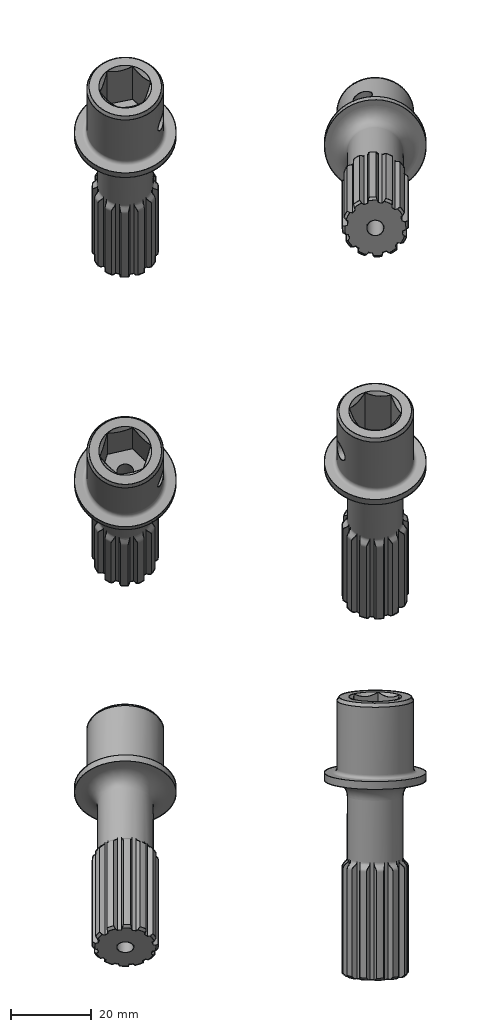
import cadquery as cq
import math

total_length = 70.0
spline_length = 29.4
flange_bottom = 49.0
flange_thickness = 1.95
flange_top = flange_bottom + flange_thickness

flange_radius = 12.6
head_radius = 9.5
head_chamfer_height = 0.9
head_chamfer_width = 0.55
head_fillet = 1.0
shaft_radius = 6.9
shaft_fillet = 4.0

spline_radius = 8.2
spline_end_chamfer = 0.6
runout_fillet = 1.0
groove_count = 12
groove_floor_width = 1.0
groove_mouth_width = 2.45

hex_across_flats = 11.2
socket_depth = 14.0
socket_mouth_radius = 6.5
bore_radius = 2.1
side_hole_radius = 2.5
side_hole_height = 59.1

DIAGONAL = math.sqrt(0.5)


def turned_body():
    """Revolve the half outline of the head, flange, shaft and spline blank."""
    arc_rise = runout_fillet * DIAGONAL
    arc_step = runout_fillet * (1 - DIAGONAL)
    slope = spline_radius - shaft_radius - 2 * arc_step
    cone_top = spline_length - arc_rise
    cone_bottom = cone_top - slope
    runout_bottom = cone_bottom - arc_rise

    outline = (
        cq.Workplane("XZ")
        .lineTo(spline_radius - spline_end_chamfer, 0)
        .lineTo(spline_radius, spline_end_chamfer)
        .lineTo(spline_radius, runout_bottom)
        .tangentArcPoint((spline_radius - arc_step, cone_bottom), relative=False)
        .lineTo(shaft_radius + arc_step, cone_top)
        .tangentArcPoint((shaft_radius, spline_length), relative=False)
        .lineTo(shaft_radius, flange_bottom - shaft_fillet)
        .tangentArcPoint((shaft_radius + shaft_fillet, flange_bottom), relative=False)
        .lineTo(flange_radius, flange_bottom)
        .lineTo(flange_radius, flange_top)
        .lineTo(head_radius + head_fillet, flange_top)
        .tangentArcPoint((head_radius, flange_top + head_fillet), relative=False)
        .lineTo(head_radius, total_length - head_chamfer_height)
        .lineTo(head_radius - head_chamfer_width, total_length)
        .lineTo(0, total_length)
        .close()
    )
    return outline.revolve(360, (0, 0, 0), (0, 1, 0))


def spline_grooves():
    """Tapered grooves whose floors run out flush with the shaft surface."""
    floor_half = groove_floor_width / 2
    mouth_half = groove_mouth_width / 2
    floor_end = math.sqrt(shaft_radius**2 - floor_half**2)
    mouth_end = math.sqrt(spline_radius**2 - mouth_half**2)

    overshoot = 1.5
    outer_end = floor_end + overshoot * (mouth_end - floor_end)
    outer_half = floor_half + overshoot * (mouth_half - floor_half)
    groove = (
        cq.Workplane("XY")
        .moveTo(floor_end, -floor_half)
        .lineTo(outer_end, -outer_half)
        .lineTo(outer_end, outer_half)
        .lineTo(floor_end, floor_half)
        .threePointArc((shaft_radius, 0), (floor_end, -floor_half))
        .close()
        .extrude(spline_length)
    )
    grooves = cq.Workplane("XY")
    for index in range(groove_count):
        grooves = grooves.add(groove.rotate((0, 0, 0), (0, 0, 1), index * 360 / groove_count))
    return grooves.combine()


def hex_socket():
    """Hexagon with flats facing +X and -X, and a 45 degree conical mouth."""
    hex_across_corners = hex_across_flats / math.cos(math.pi / 6)
    hexagon = (
        cq.Workplane("XY", origin=(0, 0, total_length - socket_depth))
        .polygon(6, hex_across_corners)
        .extrude(socket_depth)
        .rotate((0, 0, 0), (0, 0, 1), 30)
    )
    mouth = cq.Workplane(
        cq.Solid.makeCone(
            0,
            socket_mouth_radius,
            socket_mouth_radius,
            cq.Vector(0, 0, total_length - socket_mouth_radius),
        )
    )
    return hexagon.union(mouth)


def through_bore():
    return cq.Workplane("XY").circle(bore_radius).extrude(total_length)


def side_hole():
    """Radial hole from the +X side of the head into the socket."""
    return (
        cq.Workplane("YZ")
        .center(0, side_hole_height)
        .circle(side_hole_radius)
        .extrude(head_radius)
    )


result = (
    turned_body()
    .cut(spline_grooves())
    .cut(hex_socket())
    .cut(through_bore())
    .cut(side_hole())
)